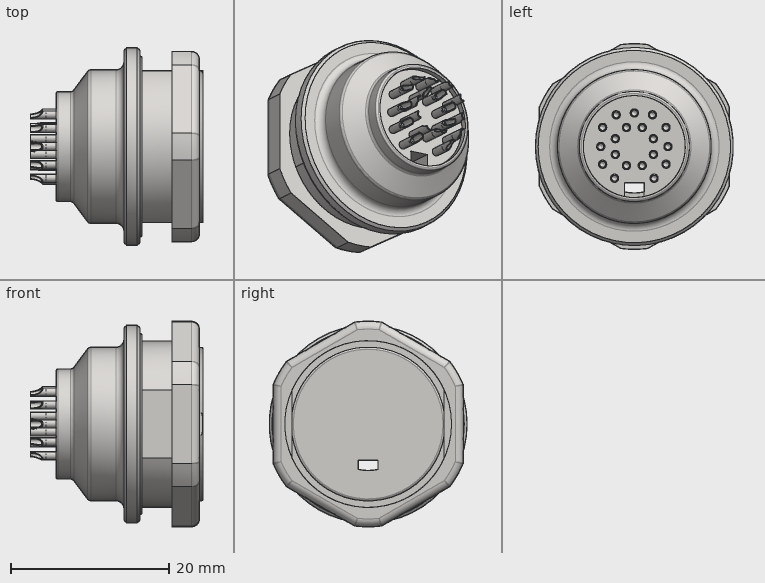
import cadquery as cq
import math


REAR_X = 3.25
INSERT_X = 4.05
CONE_START_X = 5.33
CONE_END_X = 7.38
FLANGE_REAR_X = 11.8
FLANGE_THICKNESS = 2.05
SEAT_THICKNESS = 0.25
NUT_REAR_X = 17.85
NUT_THICKNESS = 3.48
FRONT_X = 21.8

FLANGE_FRONT_X = FLANGE_REAR_X + FLANGE_THICKNESS
SEAT_X = FLANGE_FRONT_X + SEAT_THICKNESS
NUT_FRONT_X = NUT_REAR_X + NUT_THICKNESS

NECK_DIAMETER = 13.9
SHOULDER_DIAMETER = 19.4
FLANGE_DIAMETER = 25.0
SEAT_DIAMETER = 22.8
SEAT_ROUND = 0.23
THREAD_DIAMETER = 21.05
THREAD_FLAT_WIDTH = 19.2
RECESS_DIAMETER = 12.85
RIM_ROUND = 0.25
CONE_BLEND_RADIUS = 0.5
FLANGE_BLEND_RADIUS = 1.0
FLANGE_CHAMFER = 0.36

KEYWAY_WIDTH = 2.45
KEYWAY_TOP_Z = -4.57
KEYWAY_LIP_X = CONE_END_X
KEYWAY_LIP_RADIUS = 5.85

PIN_DIAMETER = 1.05
CUP_DIAMETER = 0.75
CUP_DEPTH = 2.0
CUP_TIP_ANGLE = 118
SCOOP_RADIUS = 2.2
SCOOP_BELOW_AXIS = 0.15
INNER_PIN_COUNT = 8
INNER_RING_RADIUS = 2.6
OUTER_PIN_CENTERS = [
    (0, 4.23),
    (2.29, 4.0), (-2.29, 4.0),
    (4.0, 2.42), (-4.0, 2.42),
    (4.23, 0), (-4.23, 0),
    (4.0, -2.23), (-4.0, -2.23),
    (2.5, -4.0), (-2.5, -4.0),
]

NUT_ACROSS_FLATS = 24.0
NUT_CORNER_DIAMETER = 25.98
NUT_EDGE_ROUND = 1.01

MARGIN = 0.03


def cylinder(diameter, start_x, end_x):
    """A cylinder along X, centred on the connector axis."""
    return cq.Workplane("YZ", origin=(start_x, 0, 0)).circle(diameter / 2).extrude(end_x - start_x)


def round_edge(body, x, diameter, radius):
    """Fillet the circular edge of the given diameter at station x."""
    reach = diameter / 2 + MARGIN
    low_corner = (x - MARGIN, -reach, -reach)
    high_corner = (x + MARGIN, reach, reach)
    selector = cq.selectors.BoxSelector(low_corner, high_corner, boundingbox=True)
    return body.edges(selector).fillet(radius)


def rear_shell():
    """Neck, cone and shoulder, blended into each other and into the flange."""
    neck_r = NECK_DIAMETER / 2
    shoulder_r = SHOULDER_DIAMETER / 2
    flange_r = FLANGE_DIAMETER / 2
    outline = [
        (REAR_X, 0),
        (REAR_X, neck_r),
        (CONE_START_X, neck_r),
        (CONE_END_X, shoulder_r),
        (FLANGE_REAR_X, shoulder_r),
        (FLANGE_REAR_X, flange_r - FLANGE_CHAMFER),
        (FLANGE_REAR_X + FLANGE_CHAMFER, flange_r),
        (FLANGE_FRONT_X - FLANGE_CHAMFER, flange_r),
        (FLANGE_FRONT_X, flange_r - FLANGE_CHAMFER),
        (FLANGE_FRONT_X, 0),
    ]
    shell = cq.Workplane("XY").polyline(outline).close().revolve(360, (0, 0, 0), (1, 0, 0))
    shell = round_edge(shell, REAR_X, NECK_DIAMETER, RIM_ROUND)
    shell = round_edge(shell, CONE_START_X, NECK_DIAMETER, CONE_BLEND_RADIUS)
    shell = round_edge(shell, CONE_END_X, SHOULDER_DIAMETER, CONE_BLEND_RADIUS)
    shell = round_edge(shell, FLANGE_REAR_X, SHOULDER_DIAMETER, FLANGE_BLEND_RADIUS)
    return shell


def front_barrel():
    """Threaded barrel and front collar, with a flat on the +Y and -Y sides."""
    thread = cylinder(THREAD_DIAMETER, FLANGE_FRONT_X, NUT_FRONT_X)
    collar = cylinder(SHOULDER_DIAMETER, NUT_FRONT_X, FRONT_X)
    collar = collar.faces(">X").edges().fillet(RIM_ROUND)
    between_flats = cq.Workplane("XY").box(
        FRONT_X, THREAD_FLAT_WIDTH, THREAD_DIAMETER, centered=(False, True, True)
    )
    return thread.union(collar).intersect(between_flats)


def panel_seat():
    """Thin round-edged ring on the front face of the flange."""
    ring = cylinder(SEAT_DIAMETER, FLANGE_FRONT_X, SEAT_X)
    return ring.faces(">X").edges().fillet(SEAT_ROUND)


def keyway():
    """Through slot below the pins, with a round floor that steps inward at the lip."""
    height = RECESS_DIAMETER
    slot = (
        cq.Workplane("XY")
        .box(FRONT_X, KEYWAY_WIDTH, height, centered=(False, True, False))
        .translate((0, 0, KEYWAY_TOP_Z - height))
    )
    floor = cylinder(RECESS_DIAMETER, 0, KEYWAY_LIP_X).union(
        cylinder(2 * KEYWAY_LIP_RADIUS, KEYWAY_LIP_X, FRONT_X)
    )
    return slot.intersect(floor)


def pin(y, z, scoop_angle):
    """Solder-cup pin at (y, z); scoop_angle, from +Y toward +Z, is the way its open side faces."""
    pin_r = PIN_DIAMETER / 2
    cup_r = CUP_DIAMETER / 2
    tip_depth = cup_r / math.tan(math.radians(CUP_TIP_ANGLE / 2))
    cup_outline = [(0, 0), (0, cup_r), (CUP_DEPTH, cup_r), (CUP_DEPTH + tip_depth, 0)]
    cup = cq.Workplane("XY").polyline(cup_outline).close().revolve(360, (0, 0, 0), (1, 0, 0))
    scoop = (
        cq.Workplane("XY")
        .center(0, SCOOP_RADIUS - SCOOP_BELOW_AXIS)
        .circle(SCOOP_RADIUS)
        .extrude(pin_r + MARGIN, both=True)
    )
    blank = cylinder(PIN_DIAMETER, 0, INSERT_X)
    return (
        blank.cut(cup)
        .cut(scoop)
        .rotate((0, 0, 0), (1, 0, 0), scoop_angle)
        .translate((0, y, z))
    )


def all_pins():
    """Outer pins open away from the connector axis, inner pins open toward it."""
    pins = []
    for y, z in OUTER_PIN_CENTERS:
        pins.append(pin(y, z, math.degrees(math.atan2(z, y))))
    pitch = 360 / INNER_PIN_COUNT
    for index in range(INNER_PIN_COUNT):
        angle = (index + 0.5) * pitch
        y = INNER_RING_RADIUS * math.cos(math.radians(angle))
        z = INNER_RING_RADIUS * math.sin(math.radians(angle))
        pins.append(pin(y, z, angle + 180))
    return pins


def make_receptacle():
    """Shell, barrel and pins as one solid."""
    body = rear_shell().union(panel_seat()).union(front_barrel())
    body = body.cut(cylinder(RECESS_DIAMETER, 0, INSERT_X)).cut(keyway())
    for contact in all_pins():
        body = body.union(contact)
    return body


def make_nut():
    """Hexagon with flats facing +Y and -Y, its corners turned down and its front edges rounded."""
    across_corners = NUT_ACROSS_FLATS / math.cos(math.pi / 6)
    hexagon = (
        cq.Workplane("YZ", origin=(NUT_REAR_X, 0, 0))
        .transformed(rotate=(0, 0, 90))
        .polygon(6, across_corners)
        .extrude(NUT_THICKNESS)
    )
    blank = hexagon.intersect(cylinder(NUT_CORNER_DIAMETER, NUT_REAR_X, NUT_FRONT_X))
    blank = blank.faces(">X").edges().fillet(NUT_EDGE_ROUND)
    return blank.cut(cylinder(THREAD_DIAMETER, NUT_REAR_X, NUT_FRONT_X))


receptacle = make_receptacle()
nut = make_nut()

result = cq.Compound.makeCompound([receptacle.solids().val(), nut.solids().val()])